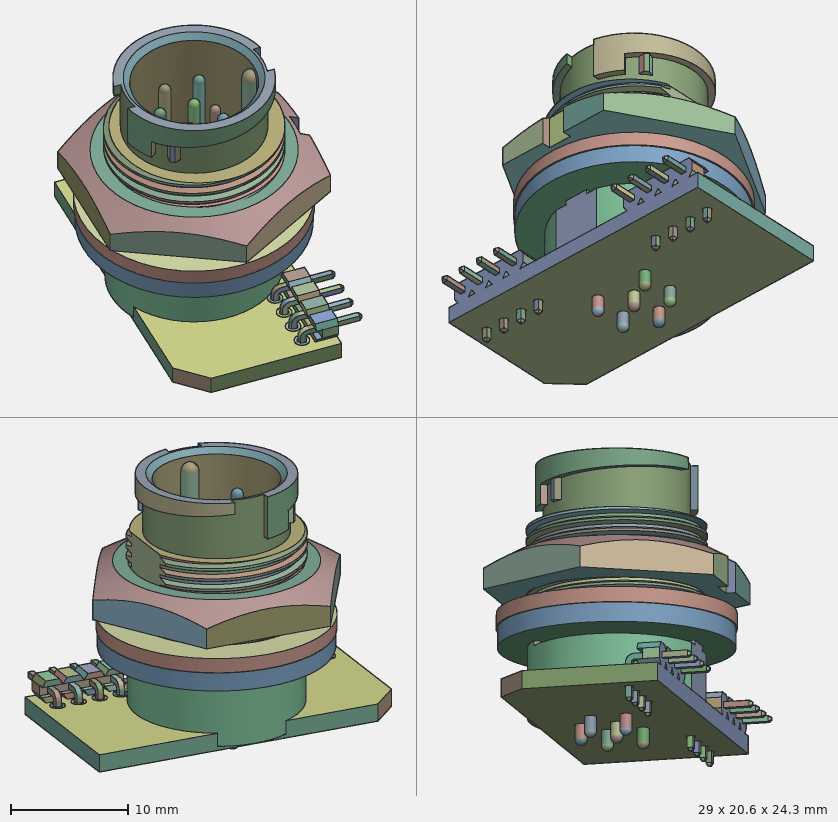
import cadquery as cq
import math


BOARD_LENGTH = 28.95
BOARD_THICKNESS = 1.6
BOARD_BACK_Y = 7.65
BOARD_FRONT_Y = -6.92
BOARD_CORNER_CUT = 2.52

HEADER_PITCH = 2.0
HEADER_PIN_COUNT = 4
HEADER_FIRST_X = 6.83
HEADER_TOP_Z = 3.62
HEADER_SHOULDER_LOW_Z = 2.15
HEADER_SHOULDER_HIGH_Z = 3.07
HEADER_FRONT_Y = 5.62
HEADER_FLAT_WIDTH = 1.27
HEADER_GROOVE_DEPTH = 0.52
PIN_WIDTH = 0.52
PIN_AXIS_Z = 2.58
PIN_TIP_Y = 10.16
PIN_LEG_Y = 4.65
PIN_END_Z = -1.25
PIN_BEND_RADIUS = 0.52
PIN_TIP_LENGTH = 0.25
PIN_TIP_TAPER = 29.0
PAD_RADIUS = 0.67
PAD_HOLE_RADIUS = 0.4
PAD_HEIGHT = 0.043

BASE_RADIUS = 7.65
BASE_BOTTOM_Z = 0.38
BASE_TOP_Z = 6.08
BASE_BACK_FLAT_Y = 7.27
NECK_RADIUS = 5.55
TAB_ANGLE = 25.8
TAB_SPAN = 24.0
KEY_WIDTH = 2.4
KEY_POST_INNER_Y = 6.15

FLANGE_RADIUS = 10.2
FLANGE_BOTTOM_Z = 6.52
GASKET_RADIUS = 10.3
GASKET_BOTTOM_Z = 8.22
GASKET_TOP_Z = 9.55

THREAD_ROOT_RADIUS = 7.27
THREAD_CREST_RADIUS = 7.75
THREAD_PITCH = 3.76 / 4
THREAD_CREST_WIDTH = 0.23
THREAD_BASE_WIDTH = 0.8
THREAD_EMBED = 0.15
THREAD_TOP_Z = 17.15
THREAD_FIRST_CREST_Z = 9.47
THREAD_FLAT_X = -6.72

BARREL_RADIUS = 6.3
BARREL_TOP_Z = 22.47
BORE_RADIUS = 5.5
BORE_FLOOR_Z = 12.75
BORE_CHAMFER_WIDTH = 0.55
BORE_CHAMFER_DEPTH = 0.5
RIM_RADIUS = 6.95
RIM_BOTTOM_Z = 18.6
RIM_SLOT_WIDTH = 3.1
RAMP_LOW_ANGLE = 126.0
RAMP_LOW_Z = 20.33
RAMP_SWEEP = 140.0
RAMP_RISE_PER_TURN = 3.05
RAMP_CUT_MARGIN = 0.15
DETENT_RADIUS = 6.8
DETENT_ANGLE = 141.8
DETENT_TIP_SPAN = 4.0
DETENT_ROOT_SPAN = 10.6

CONTACT_RADIUS = 0.52
CONTACT_CIRCLE_RADIUS = 3.15
CONTACT_ANGLES = (30, 150, 210, 270, 330)
CONTACT_BOTTOM_Z = -1.8
CONTACT_TOP_Z = 19.98
SHORT_CONTACT_RADIUS = 0.45
SHORT_CONTACT_CIRCLE_RADIUS = 2.9
SHORT_CONTACT_ANGLE = 119
SHORT_CONTACT_TOP_Z = 17.38
KEY_PIN_RADIUS = 0.78
KEY_PIN_Y = 5.25
KEY_PIN_TOP_Z = 21.55

NUT_ACROSS_CORNERS = 23.52
NUT_BOTTOM_Z = 11.03
NUT_TOP_Z = 14.42
NUT_BORE_RADIUS = 7.55
NUT_FACE_RADIUS = 8.9
NUT_CHAMFER_DROP = 1.55
NUT_NOTCH_INNER_Y = 9.33


def polar(radius, degrees):
    """Point at a radius and an angle counted from +X."""
    angle = math.radians(degrees)
    return radius * math.cos(angle), radius * math.sin(angle)


def cylinder(radius, bottom, top, center=(0, 0)):
    """Vertical cylinder between two levels."""
    return cq.Workplane("XY").workplane(offset=bottom).center(*center).circle(radius).extrude(top - bottom)


def block(x_range, y_range, z_range):
    """Box given by its limits along each axis."""
    size = [high - low for low, high in (x_range, y_range, z_range)]
    corner = (x_range[0], y_range[0], z_range[0])
    return cq.Workplane("XY").box(*size, centered=False).translate(corner)


def rod(radius, bottom, top, center):
    """Vertical rod whose two ends are hemispherical."""
    mid_x, mid_z = polar(radius, 45)
    low = bottom + radius
    high = top - radius
    return (
        cq.Workplane("XZ")
        .moveTo(0, bottom)
        .threePointArc((mid_x, low - mid_z), (radius, low))
        .lineTo(radius, high)
        .threePointArc((mid_x, high + mid_z), (0, top))
        .close()
        .revolve(360, (0, 0, 0), (0, 1, 0))
        .translate((*center, 0))
    )


def half_turn_pair(shape):
    """A shape together with its copy half a turn round the connector axis."""
    return shape.union(shape.rotate((0, 0, 0), (0, 0, 1), 180))


def header_pin_positions():
    """X of every header pin, mirrored about the connector."""
    offsets = [HEADER_FIRST_X + i * HEADER_PITCH for i in range(HEADER_PIN_COUNT)]
    return [side * offset for side in (-1, 1) for offset in offsets]


def board():
    """Circuit board with one cut corner, and a raised pad round each through hole."""
    half = BOARD_LENGTH / 2
    plate = block((-half, half), (BOARD_FRONT_Y, BOARD_BACK_Y), (0, BOARD_THICKNESS))
    plate = plate.edges("|Z and >X and <Y").chamfer(BOARD_CORNER_CUT)
    pad_top = BOARD_THICKNESS + PAD_HEIGHT
    for x in header_pin_positions():
        plate = plate.union(cylinder(PAD_RADIUS, BOARD_THICKNESS, pad_top, (x, PIN_LEG_Y)))
        plate = plate.cut(cylinder(PAD_HOLE_RADIUS, 0, pad_top, (x, PIN_LEG_Y)))
    return plate


def header_cell(x):
    """Octagonal header block at one pin, with a groove along its front face."""
    flat = HEADER_FLAT_WIDTH / 2
    side = HEADER_PITCH / 2
    cell = (
        cq.Workplane("XZ", origin=(x, BOARD_BACK_Y, 0))
        .polyline([
            (-flat, BOARD_THICKNESS),
            (flat, BOARD_THICKNESS),
            (side, HEADER_SHOULDER_LOW_Z),
            (side, HEADER_SHOULDER_HIGH_Z),
            (flat, HEADER_TOP_Z),
            (-flat, HEADER_TOP_Z),
            (-side, HEADER_SHOULDER_HIGH_Z),
            (-side, HEADER_SHOULDER_LOW_Z),
        ])
        .close()
        .extrude(BOARD_BACK_Y - HEADER_FRONT_Y)
    )
    groove = block(
        (x - side, x + side),
        (HEADER_FRONT_Y, HEADER_FRONT_Y + HEADER_GROOVE_DEPTH),
        (HEADER_SHOULDER_LOW_Z, HEADER_SHOULDER_HIGH_Z),
    )
    return cell.cut(groove)


def header_pin(x):
    """Square right-angle pin with a rounded bend and tapered tips."""
    half = PIN_WIDTH / 2
    shaft_end_y = PIN_TIP_Y - PIN_TIP_LENGTH
    shaft_end_z = PIN_END_Z + PIN_TIP_LENGTH
    bend_y = PIN_LEG_Y + PIN_BEND_RADIUS
    bend_z = PIN_AXIS_Z - PIN_BEND_RADIUS
    inner = PIN_BEND_RADIUS - half
    outer = PIN_BEND_RADIUS + half
    inner_mid = polar(inner, 135)
    outer_mid = polar(outer, 135)
    pin = (
        cq.Workplane("YZ", origin=(x - half, 0, 0))
        .moveTo(PIN_LEG_Y - half, shaft_end_z)
        .lineTo(PIN_LEG_Y - half, bend_z)
        .threePointArc((bend_y + outer_mid[0], bend_z + outer_mid[1]), (bend_y, PIN_AXIS_Z + half))
        .lineTo(shaft_end_y, PIN_AXIS_Z + half)
        .lineTo(shaft_end_y, PIN_AXIS_Z - half)
        .lineTo(bend_y, PIN_AXIS_Z - half)
        .threePointArc((bend_y + inner_mid[0], bend_z + inner_mid[1]), (PIN_LEG_Y + half, bend_z))
        .lineTo(PIN_LEG_Y + half, shaft_end_z)
        .close()
        .extrude(PIN_WIDTH)
    )
    for face in (">Y", "<Z"):
        tip = pin.faces(face).workplane(centerOption="CenterOfMass").rect(PIN_WIDTH, PIN_WIDTH)
        pin = tip.extrude(PIN_TIP_LENGTH, taper=PIN_TIP_TAPER)
    return pin


def base():
    """Lower housing with a flat back, joined to the flange by a neck, two tabs and a key post."""
    flat_cut = block((-BASE_RADIUS, BASE_RADIUS), (BASE_BACK_FLAT_Y, BASE_RADIUS), (0, FLANGE_BOTTOM_Z))
    drum = cylinder(BASE_RADIUS, BASE_BOTTOM_Z, BASE_TOP_Z).cut(flat_cut)
    neck = cylinder(NECK_RADIUS, BASE_TOP_Z, FLANGE_BOTTOM_Z)
    post = block(
        (-KEY_WIDTH / 2, KEY_WIDTH / 2), (KEY_POST_INNER_Y, BASE_BACK_FLAT_Y), (BASE_TOP_Z, FLANGE_BOTTOM_Z)
    )
    lower = drum.union(neck).union(post)
    for side in (-1, 1):
        lower = lower.union(tab(-90 + side * TAB_ANGLE))
    return lower


def tab(center_angle):
    """Sector of the base carried up to the flange."""
    start = center_angle - TAB_SPAN / 2
    end = center_angle + TAB_SPAN / 2
    return (
        cq.Workplane("XY", origin=(0, 0, BASE_TOP_Z))
        .lineTo(*polar(BASE_RADIUS, start))
        .threePointArc(polar(BASE_RADIUS, center_angle), polar(BASE_RADIUS, end))
        .close()
        .extrude(FLANGE_BOTTOM_Z - BASE_TOP_Z)
    )


def flange():
    """Flange with the slightly larger gasket on top."""
    plate = cylinder(FLANGE_RADIUS, FLANGE_BOTTOM_Z, GASKET_BOTTOM_Z)
    return plate.union(cylinder(GASKET_RADIUS, GASKET_BOTTOM_Z, GASKET_TOP_Z))


def threaded_section():
    """Right-hand external thread with one flat along its -X side."""
    start_z = THREAD_FIRST_CREST_Z - THREAD_PITCH
    height = THREAD_TOP_Z + THREAD_PITCH - start_z
    inner_radius = THREAD_ROOT_RADIUS - THREAD_EMBED
    helix = cq.Workplane(cq.Wire.makeHelix(THREAD_PITCH, height, THREAD_ROOT_RADIUS)).translate((0, 0, start_z))
    tooth = (
        cq.Workplane("XZ", origin=(0, 0, start_z))
        .polyline([
            (inner_radius, -THREAD_BASE_WIDTH / 2),
            (THREAD_CREST_RADIUS, -THREAD_CREST_WIDTH / 2),
            (THREAD_CREST_RADIUS, THREAD_CREST_WIDTH / 2),
            (inner_radius, THREAD_BASE_WIDTH / 2),
        ])
        .close()
        .sweep(helix, isFrenet=True)
    )
    core = cylinder(THREAD_ROOT_RADIUS, start_z - THREAD_PITCH, start_z + height + THREAD_PITCH)
    core = core.rotate((0, 0, 0), (0, 0, 1), 90)
    envelope = cylinder(GASKET_RADIUS, GASKET_TOP_Z, THREAD_TOP_Z)
    flat_cut = block(
        (-GASKET_RADIUS, THREAD_FLAT_X), (-GASKET_RADIUS, GASKET_RADIUS), (GASKET_TOP_Z, THREAD_TOP_Z)
    )
    return core.union(tooth).intersect(envelope.cut(flat_cut))


def ramp_cutter():
    """Space under one bayonet ramp; its top is a helical surface."""
    depth = RAMP_LOW_Z - RIM_BOTTOM_Z + RAMP_RISE_PER_TURN
    helix = cq.Wire.makeHelix(RAMP_RISE_PER_TURN, RAMP_RISE_PER_TURN * RAMP_SWEEP / 360, RIM_RADIUS)
    section_outer = RIM_RADIUS + RAMP_CUT_MARGIN
    section_inner = BARREL_RADIUS - RAMP_CUT_MARGIN
    return (
        cq.Workplane("XZ")
        .polyline([(section_inner, 0), (section_outer, 0), (section_outer, -depth), (section_inner, -depth)])
        .close()
        .sweep(cq.Workplane(helix), isFrenet=True)
        .rotate((0, 0, 0), (0, 0, 1), RAMP_LOW_ANGLE)
        .translate((0, 0, RAMP_LOW_Z))
    )


def detent():
    """Ridge with sloping sides on the barrel below the ramp."""
    tip = DETENT_TIP_SPAN / 2
    root = DETENT_ROOT_SPAN / 2
    return (
        cq.Workplane("XY", origin=(0, 0, RIM_BOTTOM_Z))
        .polyline([
            (0, 0),
            polar(BARREL_RADIUS, DETENT_ANGLE - root),
            polar(DETENT_RADIUS, DETENT_ANGLE - tip),
            polar(DETENT_RADIUS, DETENT_ANGLE + tip),
            polar(BARREL_RADIUS, DETENT_ANGLE + root),
        ])
        .close()
        .extrude(BARREL_TOP_Z - RIM_BOTTOM_Z)
    )


def barrel():
    """Barrel carrying a two-start bayonet rim."""
    slot = block(
        (-RIM_SLOT_WIDTH / 2, RIM_SLOT_WIDTH / 2), (-RIM_RADIUS, RIM_RADIUS), (RIM_BOTTOM_Z, BARREL_TOP_Z)
    )
    rim = cylinder(RIM_RADIUS, RIM_BOTTOM_Z, BARREL_TOP_Z).cut(slot)
    cutter = ramp_cutter()
    rim = rim.cut(cutter).cut(cutter.rotate((0, 0, 0), (0, 0, 1), 180))
    tube = cylinder(BARREL_RADIUS, THREAD_TOP_Z, BARREL_TOP_Z)
    return tube.union(rim).union(half_turn_pair(detent()))


def bore():
    """Space inside the barrel, with a conical mouth."""
    mouth_radius = BORE_RADIUS + BORE_CHAMFER_WIDTH
    return (
        cq.Workplane("XZ")
        .polyline([
            (0, BORE_FLOOR_Z),
            (BORE_RADIUS, BORE_FLOOR_Z),
            (BORE_RADIUS, BARREL_TOP_Z - BORE_CHAMFER_DEPTH),
            (mouth_radius, BARREL_TOP_Z),
            (0, BARREL_TOP_Z),
        ])
        .close()
        .revolve(360, (0, 0, 0), (0, 1, 0))
    )


def connector():
    """Board, headers, housing and contacts as one body."""
    body = board().union(base()).union(flange()).union(threaded_section()).union(barrel()).cut(bore())
    places = [(0, 0)] + [polar(CONTACT_CIRCLE_RADIUS, angle) for angle in CONTACT_ANGLES]
    for place in places:
        body = body.union(rod(CONTACT_RADIUS, CONTACT_BOTTOM_Z, CONTACT_TOP_Z, place))
    short_place = polar(SHORT_CONTACT_CIRCLE_RADIUS, SHORT_CONTACT_ANGLE)
    body = body.union(rod(SHORT_CONTACT_RADIUS, GASKET_TOP_Z, SHORT_CONTACT_TOP_Z, short_place))
    key_pin = rod(KEY_PIN_RADIUS, GASKET_TOP_Z, KEY_PIN_TOP_Z, (0, KEY_PIN_Y))
    body = body.union(key_pin.intersect(cylinder(BARREL_RADIUS, GASKET_TOP_Z, BARREL_TOP_Z)))
    for x in header_pin_positions():
        body = body.union(header_cell(x)).union(header_pin(x))
    return body


def nut():
    """Hexagonal nut, chamfered on top, notched in its +Y flat and grooved to match the thread."""
    corner_radius = NUT_ACROSS_CORNERS / 2
    height = NUT_TOP_Z - NUT_BOTTOM_Z
    hexagon = cq.Workplane("XY", origin=(0, 0, NUT_BOTTOM_Z)).polygon(6, NUT_ACROSS_CORNERS).extrude(height)
    envelope = (
        cq.Workplane("XZ")
        .polyline([
            (0, NUT_BOTTOM_Z),
            (corner_radius, NUT_BOTTOM_Z),
            (corner_radius, NUT_TOP_Z - NUT_CHAMFER_DROP),
            (NUT_FACE_RADIUS, NUT_TOP_Z),
            (0, NUT_TOP_Z),
        ])
        .close()
        .revolve(360, (0, 0, 0), (0, 1, 0))
    )
    notch = block(
        (-KEY_WIDTH / 2, KEY_WIDTH / 2), (NUT_NOTCH_INNER_Y, corner_radius), (NUT_BOTTOM_Z, NUT_TOP_Z)
    )
    hole = cylinder(NUT_BORE_RADIUS, NUT_BOTTOM_Z, NUT_TOP_Z)
    return hexagon.intersect(envelope).cut(hole).cut(notch).cut(threaded_section())


result = cq.Compound.makeCompound([connector().val(), nut().val()])